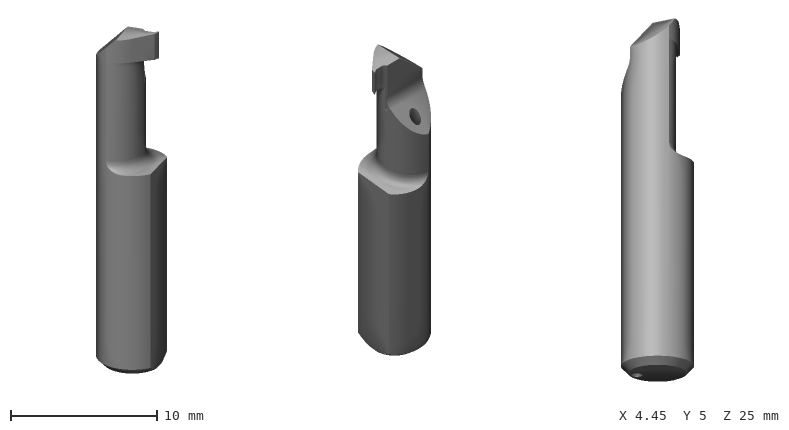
import cadquery as cq
import math

length = 25.0
shank_radius = 2.5
flat_x = 1.95
end_chamfer = 0.5

neck_start_z = 15.0
neck_radius = 2.3
neck_center_x = -1.45
neck_fillet = 0.75

rake_face_y = 0.1
relief_height = 19.12
relief_edge_y = 2.28
relief_angle = 40.0
relief_fillet = 1.5

head_height = 2.0
clearance_angle = 4.0
back_chamfer = 2.12

tip_x = 1.92
tip_y = 0.08
tip_facet = (1.78, -0.35)
flank_end = (0.52, -1.55)

heel_x = (shank_radius**2 + neck_center_x**2 - neck_radius**2) / (2 * neck_center_x)
heel_y = -math.sqrt(shank_radius**2 - heel_x**2)

groove_start_x = 0.72
groove_floor_y = -0.12
groove_floor_start_x = 0.98
groove_floor_end_x = 1.58

coolant_x = -0.72
coolant_y = 1.3
coolant_diameter = 0.8

margin = 7.5


def make_shank():
    """Round bar with a chamfered bottom end and a full-length flat on +X."""
    bar = cq.Workplane("XY").circle(shank_radius).extrude(length)
    bar = bar.faces("<Z").chamfer(end_chamfer)
    flat = cq.Workplane("XY").box(margin, margin, length, centered=(False, True, False))
    return bar.cut(flat.translate((flat_x, 0, 0)))


def make_neck_envelope():
    """Revolved envelope of the eccentric neck, flaring into the shoulder."""
    flare_radius = neck_radius + neck_fillet
    flare_top_z = neck_start_z + neck_fillet
    arc_offset = neck_fillet * (1 - math.sqrt(0.5))
    profile = (
        cq.Workplane("XZ")
        .lineTo(margin, 0)
        .lineTo(margin, neck_start_z)
        .lineTo(flare_radius, neck_start_z)
        .threePointArc(
            (neck_radius + arc_offset, neck_start_z + arc_offset),
            (neck_radius, flare_top_z),
        )
        .lineTo(neck_radius, length)
        .lineTo(0, length)
        .close()
    )
    envelope = profile.revolve(360, (0, 0, 0), (0, 1, 0))
    return envelope.translate((neck_center_x, 0, 0))


def tilt_about_rake_face(body, pivot_z, angle):
    """Tilt a body about a line along X in the rake face; a positive angle lowers its -Y end."""
    return body.rotate((0, rake_face_y, pivot_z), (1, rake_face_y, pivot_z), angle)


def make_head():
    """Cutting head with a clearance-angled underside, reaching past the neck to the tip."""
    outline = (
        cq.Workplane("XY")
        .moveTo(neck_center_x, rake_face_y)
        .lineTo(tip_x, rake_face_y)
        .lineTo(tip_x, tip_y)
        .lineTo(*tip_facet)
        .lineTo(*flank_end)
        .tangentArcPoint((heel_x, heel_y), relative=False)
        .lineTo(neck_center_x, heel_y)
        .close()
    )
    underside_z = length - head_height
    head = outline.extrude(2 * head_height).translate((0, 0, underside_z - head_height / 2))
    below = cq.Workplane("XY").box(2 * margin, 2 * margin, margin).translate(
        (0, rake_face_y, underside_z - margin / 2)
    )
    below = tilt_about_rake_face(below, underside_z, -clearance_angle)
    bar = cq.Workplane("XY").circle(shank_radius).extrude(length)
    return head.cut(below).intersect(bar)


def make_rake_cut():
    """Space behind the rake face, ending in a filleted sloping run-out."""
    angle = math.radians(relief_angle)
    corner_z = relief_height + (relief_edge_y - rake_face_y) / math.tan(angle)
    run_out_z = corner_z - margin / math.tan(angle)
    cut = (
        cq.Workplane("YZ")
        .moveTo(rake_face_y, length + margin)
        .lineTo(rake_face_y, corner_z)
        .lineTo(rake_face_y + margin, run_out_z)
        .lineTo(rake_face_y + margin, length + margin)
        .close()
        .extrude(margin, both=True)
    )
    corner = cq.selectors.NearestToPointSelector((0, rake_face_y, corner_z))
    return cut.edges(corner).fillet(relief_fillet)


def make_top_cut():
    """Space above the clearance-angled top face and its 45 degree back chamfer."""
    chamfer_top_x = back_chamfer - shank_radius
    cut = (
        cq.Workplane("XZ")
        .moveTo(margin, length)
        .lineTo(chamfer_top_x, length)
        .lineTo(chamfer_top_x - margin, length - margin)
        .lineTo(chamfer_top_x - margin, length + margin)
        .lineTo(margin, length + margin)
        .close()
        .extrude(margin, both=True)
    )
    return tilt_about_rake_face(cut, length, clearance_angle)


def make_chip_groove():
    """Shallow chip groove in the rake face beside the tip."""
    return (
        cq.Workplane("XY", origin=(0, 0, length - 2 * head_height))
        .moveTo(groove_start_x, rake_face_y)
        .lineTo(groove_floor_start_x, groove_floor_y)
        .lineTo(groove_floor_end_x, groove_floor_y)
        .lineTo(tip_x, tip_y)
        .lineTo(tip_x, rake_face_y)
        .close()
        .extrude(margin)
    )


def make_coolant_hole():
    """Straight coolant hole along the full length."""
    hole = cq.Workplane("XY").circle(coolant_diameter / 2).extrude(length)
    return hole.translate((coolant_x, coolant_y, 0))


result = make_shank().intersect(make_neck_envelope())
result = result.union(make_head())
result = result.cut(make_rake_cut())
result = result.cut(make_top_cut())
result = result.cut(make_chip_groove())
result = result.cut(make_coolant_hole())